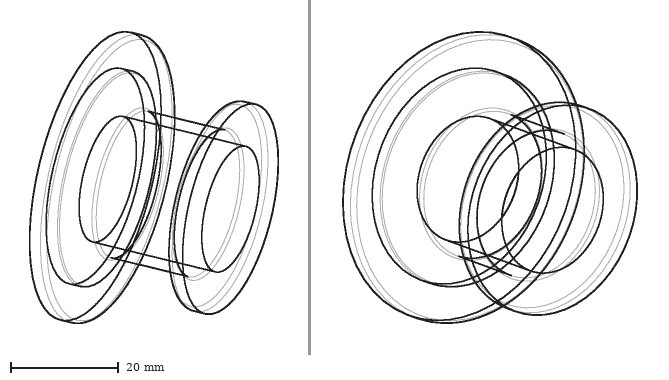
import cadquery as cq
import math

length = 28.0
large_flange_radius = 27.5
small_flange_radius = 20.0
tube_radius = 14.0
bore_radius = 12.0

rim_width = 2.95
cone_angle = math.radians(15)
rim_fillet = 1.0
tube_fillet = 0.65

recess_radius = 20.55
recess_depth = 2.6
recess_fillet = 0.3


def cone_length(flange_radius):
    """Axial length of the cone between a flange rim and the tube."""
    return (flange_radius - tube_radius) * math.tan(cone_angle)


def circle_edges_at(body, x, radius):
    """Select the circular edges of one radius in one plane across X."""
    tolerance = 0.005
    return body.edges(
        cq.selectors.BoxSelector(
            (x - tolerance, -radius - tolerance, -radius - tolerance),
            (x + tolerance, radius + tolerance, radius + tolerance),
            boundingbox=True,
        )
    )


large_cone_end = rim_width + cone_length(large_flange_radius)
small_rim_start = length - rim_width
small_cone_start = small_rim_start - cone_length(small_flange_radius)
body = (
    cq.Workplane("XY")
    .moveTo(0, 0)
    .lineTo(0, large_flange_radius)
    .lineTo(rim_width, large_flange_radius)
    .lineTo(large_cone_end, tube_radius)
    .lineTo(small_cone_start, tube_radius)
    .lineTo(small_rim_start, small_flange_radius)
    .lineTo(length, small_flange_radius)
    .lineTo(length, 0)
    .close()
    .revolve(360, (0, 0, 0), (1, 0, 0))
)

rounded_edges = [
    (rim_width, large_flange_radius, rim_fillet),
    (small_rim_start, small_flange_radius, rim_fillet),
    (large_cone_end, tube_radius, tube_fillet),
    (small_cone_start, tube_radius, tube_fillet),
]
for edge_x, edge_radius, fillet in rounded_edges:
    body = circle_edges_at(body, edge_x, edge_radius).fillet(fillet)

recess = (
    cq.Workplane("YZ")
    .circle(recess_radius)
    .extrude(recess_depth)
    .faces(">X")
    .edges()
    .fillet(recess_fillet)
)
bore = cq.Workplane("YZ").circle(bore_radius).extrude(length)

result = body.cut(recess).cut(bore)